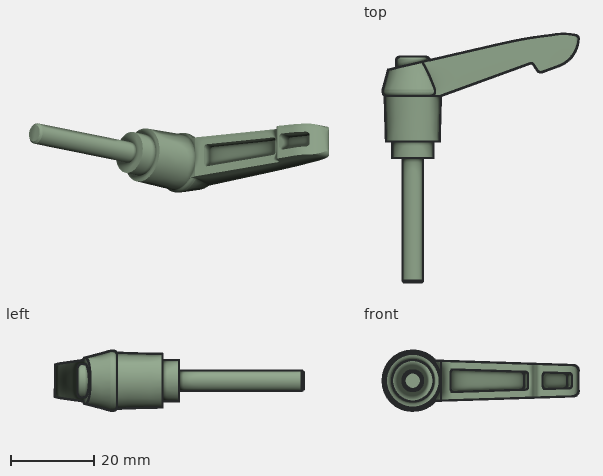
import math

import cadquery as cq


stud_diameter = 5.0
stud_length = 30.0
stud_chamfer = 0.5
collar_diameter = 10.0
collar_height = 4.0

skirt_bottom_diameter = 13.0
skirt_top_diameter = 13.6
hub_base_y = 15.0

hub_radius = 7.25
hub_base_round = 0.9
hub_cone_start_y = 16.5
hub_cone_angle = 15.0
hub_cone_top_y = 25.0

button_diameter = 8.0
button_top_y = 24.55
button_bevel_width = 0.87
button_bevel_height = 0.5
button_round = 0.6

arm_start_x = 6.8
arm_tip_x = 40.0
underside_angle = 20.0
notch_x = 28.75
notch_wall_run = 1.7
notch_wall_angle = 56.0
notch_inner_round = 0.5
notch_outer_round = 1.0
tip_radius = 7.5
tip_corner_round = 0.9
top_angle = 13.0
top_height_on_axis = 22.7
top_straight_end_x = 21.5
top_curve_end = (33.6, 29.72)
top_crest = (36.3, 30.0)
top_tip_y = 29.45

arm_half_width_on_axis = 5.05
arm_half_width_at_tip = 3.75
arm_end_round = 1.5
arm_plan_height = 50.0

pocket_wall = 2.0
pocket_corner_round = 0.8
long_pocket_x = (9.1, 27.8)
long_pocket_depth = 3.0
short_pocket_x = (31.3, 38.7)
short_pocket_depth = 4.5

underside_slope = math.tan(math.radians(underside_angle))
underside_sin = math.sin(math.radians(underside_angle))
underside_cos = math.cos(math.radians(underside_angle))
top_slope = math.tan(math.radians(top_angle))

notch_top = (notch_x, hub_base_y + (notch_x - arm_start_x) * underside_slope)
notch_bottom = (
    notch_x + notch_wall_run,
    notch_top[1] - notch_wall_run * math.tan(math.radians(notch_wall_angle)),
)


def arm_top_y(x):
    """Height of the straight part of the arm top."""
    return top_height_on_axis + x * top_slope


def arm_half_width(x):
    """Half width of the tapered arm."""
    return arm_half_width_on_axis + (arm_half_width_at_tip - arm_half_width_on_axis) * x / arm_tip_x


def turned(points):
    """Solid of revolution about Y from (radius, y) points, closed along the axis."""
    return cq.Workplane("XY").polyline(points).close().revolve(360, (0, 0), (0, 1))


def cylinder(diameter, y_low, y_high):
    return turned([(0, y_low), (diameter / 2, y_low), (diameter / 2, y_high), (0, y_high)])


def make_stud():
    stud = cylinder(stud_diameter, -stud_length, collar_height)
    return stud.faces("<Y").chamfer(stud_chamfer)


def make_skirt():
    return turned([
        (0, collar_height),
        (skirt_bottom_diameter / 2, collar_height),
        (skirt_top_diameter / 2, hub_base_y),
        (0, hub_base_y),
    ])


def make_hub():
    cone_rise = hub_cone_top_y - hub_cone_start_y
    cone_top_radius = hub_radius - cone_rise * math.tan(math.radians(hub_cone_angle))
    hub = turned([
        (0, hub_base_y),
        (hub_radius, hub_base_y),
        (hub_radius, hub_cone_start_y),
        (cone_top_radius, hub_cone_top_y),
        (0, hub_cone_top_y),
    ])
    hub = hub.faces("<Y").edges().fillet(hub_base_round)
    below_top = (
        cq.Workplane("XY")
        .polyline([
            (-hub_radius, 0),
            (hub_radius, 0),
            (hub_radius, arm_top_y(hub_radius)),
            (-hub_radius, arm_top_y(-hub_radius)),
        ])
        .close()
        .extrude(hub_radius, both=True)
    )
    return hub.intersect(below_top)


def make_button():
    radius = button_diameter / 2
    shoulder_y = button_top_y - button_bevel_height
    button = turned([
        (0, hub_base_y),
        (radius, hub_base_y),
        (radius, shoulder_y),
        (radius - button_bevel_width, button_top_y),
        (0, button_top_y),
    ])
    shoulder = cq.NearestToPointSelector((0, shoulder_y, 0))
    return button.edges("%CIRCLE").edges(shoulder).fillet(button_round)


def make_arm_profile():
    """Arm side outline in XY, thickened symmetrically in Z."""
    tip_center_x = arm_tip_x - tip_radius
    arc_start_x = tip_center_x + tip_radius * underside_sin
    arc_start_y = notch_bottom[1] + (arc_start_x - notch_bottom[0]) * underside_slope
    tip_center_y = arc_start_y + tip_radius * underside_cos
    middle_angle = math.radians((underside_angle - 90) / 2)
    arc_middle = (
        tip_center_x + tip_radius * math.cos(middle_angle),
        tip_center_y + tip_radius * math.sin(middle_angle),
    )
    profile = (
        cq.Workplane("XY")
        .moveTo(0, hub_base_y)
        .lineTo(0, arm_top_y(0))
        .lineTo(top_straight_end_x, arm_top_y(top_straight_end_x))
        .tangentArcPoint(top_curve_end, relative=False)
        .threePointArc(top_crest, (arm_tip_x, top_tip_y))
        .lineTo(arm_tip_x, tip_center_y)
        .threePointArc(arc_middle, (arc_start_x, arc_start_y))
        .lineTo(*notch_bottom)
        .lineTo(*notch_top)
        .lineTo(arm_start_x, hub_base_y)
        .close()
        .extrude(hub_radius, both=True)
    )
    rounds = (
        (notch_top, notch_inner_round),
        (notch_bottom, notch_outer_round),
        ((arm_tip_x, top_tip_y), tip_corner_round),
    )
    for corner, radius in rounds:
        profile = profile.edges(cq.NearestToPointSelector((*corner, 0))).fillet(radius)
    return profile


def make_arm_plan():
    """Tapered arm outline in XZ with rounded end corners, tall enough to span the arm."""
    plan = (
        cq.Workplane("XZ")
        .polyline([
            (0, -arm_half_width(0)),
            (arm_tip_x, -arm_half_width(arm_tip_x)),
            (arm_tip_x, arm_half_width(arm_tip_x)),
            (0, arm_half_width(0)),
        ])
        .close()
        .extrude(-arm_plan_height)
    )
    return plan.edges("|Y and >X").fillet(arm_end_round)


def make_pocket(line_point, x_range, depth):
    """Tapered pocket entering square to the sloping underside through line_point."""
    x_near, x_far = x_range
    plane = cq.Plane(
        origin=(line_point[0], line_point[1], 0),
        xDir=(underside_cos, underside_sin, 0),
        normal=(-underside_sin, underside_cos, 0),
    )
    near = (x_near - line_point[0]) / underside_cos
    far = (x_far - line_point[0]) / underside_cos
    near_half = arm_half_width(x_near) - pocket_wall
    far_half = arm_half_width(x_far) - pocket_wall
    return (
        cq.Workplane(plane)
        .polyline([(near, -near_half), (far, -far_half), (far, far_half), (near, near_half)])
        .close()
        .extrude(depth)
        .edges(cq.ParallelDirSelector(plane.zDir))
        .fillet(pocket_corner_round)
    )


arm = make_arm_profile().intersect(make_arm_plan())
arm = arm.cut(make_pocket(notch_top, long_pocket_x, long_pocket_depth))
arm = arm.cut(make_pocket(notch_bottom, short_pocket_x, short_pocket_depth))

collar = cylinder(collar_diameter, 0, collar_height)
result = make_skirt()
for section in (collar, make_stud(), make_hub(), arm, make_button()):
    result = result.union(section)